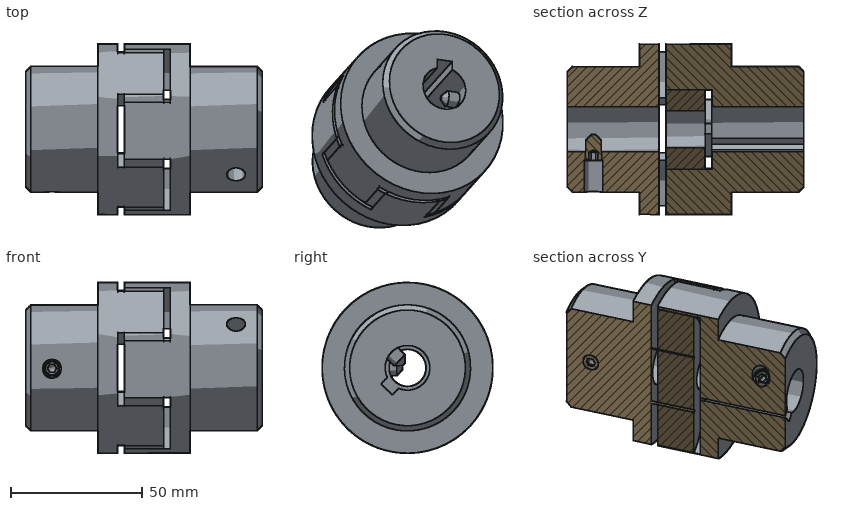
import cadquery as cq
import math


overall_length = 90.0
flange_radius = 65.0 / 2
jaw_count = 4
jaw_pitch = 360.0 / jaw_count
phase_angle = 1.0

spider_length = 15.0
spider_gap = 2.5
spider_bore_radius = 14.0 / 2

flange_thickness = 7.5
hub_face = (overall_length - spider_length) / 2 - spider_gap
jaw_tip = hub_face + spider_gap + spider_length
body_radius = 48.0 / 2
body_chamfer = 2.0
bore_radius = 17.0 / 2
keyway_width = 6.0
keyway_top = 11.4

jaw_inner_radius = 15.0
pocket_radius = 15.0
pocket_circle_radius = 23.85

screw_position = 10.0
screw_radius = 6.0 / 2
screw_length = 10.0
screw_tip_distance = 1.9
screw_tip_radius = 0.75
screw_end_radius = 5.0 / 2
tap_hole_radius = 5.51 / 2
clearance_hole_radius = 7.0 / 2
screw_end_distance = screw_tip_distance + screw_length
socket_width = 3.0
socket_corner_radius = socket_width / 2 / math.cos(math.pi / 6)
socket_depth = 3.0
socket_cone_depth = 1.0

X_AXIS = ((0, 0, 0), (1, 0, 0))


def disc(x_start, x_end, radius):
    """Solid cylinder about the X axis."""
    return cq.Workplane("YZ", origin=(x_start, 0, 0)).circle(radius).extrude(x_end - x_start)


def radial_plane(distance):
    """Workplane facing -Y at a distance from the axis, centred on the set screw."""
    return cq.Workplane("XZ", origin=(screw_position, -distance, 0))


def make_jaws():
    """Ring with round pockets cut out on the Y and Z axes, leaving the jaws between them."""
    length = jaw_tip - hub_face
    ring = disc(hub_face, jaw_tip, flange_radius).cut(disc(hub_face, jaw_tip, jaw_inner_radius))
    pockets = (
        cq.Workplane("YZ", origin=(hub_face, 0, 0))
        .polarArray(pocket_circle_radius, 0, 360, jaw_count)
        .circle(pocket_radius)
        .extrude(length)
    )
    return ring.cut(pockets)


def make_screw_blank():
    """Set screw without its socket: a cone point at the inner end, a chamfer at the outer end."""
    blank = radial_plane(screw_tip_distance).circle(screw_radius).extrude(screw_length)
    blank = blank.faces(">Y").chamfer(screw_radius - screw_tip_radius)
    return blank.faces("<Y").chamfer(screw_radius - screw_end_radius)


def make_socket():
    """Hexagon socket whose floor is a shallow cone."""
    total_depth = socket_depth + socket_cone_depth
    hexagon = radial_plane(screw_end_distance).polygon(6, 2 * socket_corner_radius).extrude(-total_depth)
    drill = radial_plane(screw_end_distance).circle(socket_corner_radius).extrude(-socket_depth)
    drill_point = cq.Solid.makeCone(
        socket_corner_radius,
        0,
        socket_cone_depth,
        pnt=cq.Vector(screw_position, socket_depth - screw_end_distance, 0),
        dir=cq.Vector(0, 1, 0),
    )
    return hexagon.intersect(drill.union(cq.Workplane(drill_point)))


def make_hub(jaws, screw_blank):
    """Hub with its set screw hole at -Y, its keyway at +Z and its jaws halfway between the axes."""
    body = disc(0, hub_face, body_radius).faces("<X").chamfer(body_chamfer)
    flange = disc(hub_face - flange_thickness, hub_face, flange_radius)
    keyway = cq.Workplane("XY").box(hub_face, keyway_width, keyway_top, centered=(False, True, False))
    tap_hole = radial_plane(0).circle(tap_hole_radius).extrude(body_radius)
    clearance_hole = radial_plane(screw_end_distance).circle(clearance_hole_radius).extrude(body_radius)
    hub = body.union(flange).cut(disc(0, hub_face, bore_radius)).cut(keyway)
    hub = hub.cut(tap_hole).cut(clearance_hole).cut(screw_blank)
    return hub.union(jaws)


def to_far_end(part):
    """Half turn that brings a part to the other end, with its jaws between those of the first hub."""
    turned_end_for_end = part.rotate((overall_length / 2, 0, 0), (overall_length / 2, 1, 0), 180)
    return turned_end_for_end.rotate(*X_AXIS, -jaw_pitch / 2)


def make_spider(jaw_sets):
    """Disc that fills the space between the jaws of both hubs."""
    start = hub_face + spider_gap
    spider = disc(start, start + spider_length, flange_radius)
    spider = spider.cut(disc(start, start + spider_length, spider_bore_radius))
    for jaws in jaw_sets:
        spider = spider.cut(jaws)
    return spider


near_jaws = make_jaws()
screw_blank = make_screw_blank()
near_hub = make_hub(near_jaws, screw_blank)
near_screw = screw_blank.cut(make_socket())
spider = make_spider([near_jaws, to_far_end(near_jaws)])

bodies = [near_hub, to_far_end(near_hub), spider, near_screw, to_far_end(near_screw)]
result = cq.Compound.makeCompound([body.rotate(*X_AXIS, phase_angle).val() for body in bodies])